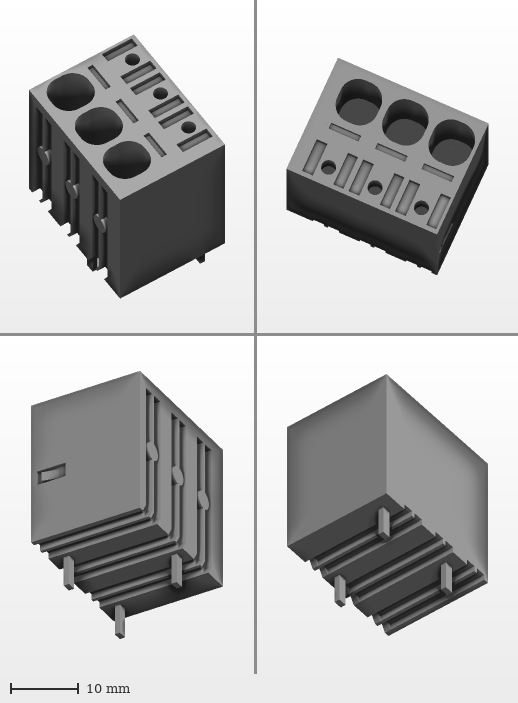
import cadquery as cq


WIDTH = 24.3
DEPTH = 18.5
TOTAL_HEIGHT = 29.15
PIN_LENGTH = 5.0
HEIGHT = TOTAL_HEIGHT - PIN_LENGTH
POLE_COUNT = 3
PITCH = 7.5
POLE_CENTRE = PITCH / 2

WIRE_WIDTH = 6.4
WIRE_LENGTH = 6.82
WIRE_FRONT_WALL = 1.5
WIRE_RADIUS = 2.77
WIRE_DEPTH = 11.65

BUTTON_WIDTH = 5.95
BUTTON_LENGTH = 3.05
BUTTON_FRONT = 8.75
BUTTON_HEIGHT = 5.83
SLOT_MARGIN = 0.67
SLOT_WIDTH = 4.85
SLOT_LENGTH = 0.95
SLOT_FRONT = BUTTON_FRONT + SLOT_MARGIN
SLOT_DEPTH = 0.7

TEST_HOLE_DIAMETER = 2.22
TEST_HOLE_FROM_BACK = 2.75
TEST_HOLE_DEPTH = 3.5
RECESS_LENGTH = 5.28
RECESS_FROM_BACK = 0.67
RECESS_DEPTH = 1.0
LEFT_RECESS_START = 0.45
LEFT_RECESS_WIDTH = 1.6
RIGHT_RECESS_START = 5.35
RIGHT_RECESS_WIDTH = 1.72

GROOVE_CENTRE = 3.88
GROOVE_WIDTH = 1.8
RIB_WIDTH = 0.55
GROOVE_DEPTH = 1.0
GROOVE_TOP_MARGIN = 2.0
GROOVE_BEND_HEIGHT = 1.57
GROOVE_SHIFT = 0.93
BOSS_DIAMETER = 3.0
CHANNEL_HEIGHT = 1.0

POCKET_LENGTH = 4.93
POCKET_HEIGHT = 2.35
POCKET_FROM_BACK = 0.9
POCKET_BOTTOM = 9.8
POCKET_DEPTH = 0.65
RAMP_LENGTH = 2.57
RAMP_HEIGHT = 1.52
RAMP_FROM_BACK = 1.78
RAMP_ABOVE_POCKET = 0.5

PIN_WIDTH = 1.5
PIN_THICKNESS = 0.9
PIN_CENTRE = 6.55
BACK_PIN_Y = DEPTH - 2.62
FRONT_PIN_Y = BACK_PIN_Y - 14.0


def block(x, y, z, width, length, height):
    """Box with its left, front, bottom corner at (x, y, z)."""
    return cq.Workplane("XY").box(width, length, height, centered=False).translate((x, y, z))


def wire_entry(pole_x):
    bottom = HEIGHT - WIRE_DEPTH
    entry = block(
        pole_x + POLE_CENTRE - WIRE_WIDTH / 2, WIRE_FRONT_WALL, bottom,
        WIRE_WIDTH, WIRE_LENGTH, WIRE_DEPTH,
    )
    return entry.edges("|Z").fillet(WIRE_RADIUS)


def button_blank(pole_x):
    """Full block of a button, which is also the shape of its seat in the housing."""
    return block(
        pole_x + POLE_CENTRE - BUTTON_WIDTH / 2, BUTTON_FRONT, HEIGHT - BUTTON_HEIGHT,
        BUTTON_WIDTH, BUTTON_LENGTH, BUTTON_HEIGHT,
    )


def screwdriver_slot(pole_x):
    return block(
        pole_x + POLE_CENTRE - SLOT_WIDTH / 2, SLOT_FRONT, HEIGHT - SLOT_DEPTH,
        SLOT_WIDTH, SLOT_LENGTH, SLOT_DEPTH,
    )


def button(pole_x):
    return button_blank(pole_x).cut(screwdriver_slot(pole_x))


def test_hole(pole_x):
    hole = cq.Workplane("XY").circle(TEST_HOLE_DIAMETER / 2).extrude(TEST_HOLE_DEPTH)
    return hole.translate(
        (pole_x + POLE_CENTRE, DEPTH - TEST_HOLE_FROM_BACK, HEIGHT - TEST_HOLE_DEPTH)
    )


def marker_recess(x, width):
    y = DEPTH - RECESS_FROM_BACK - RECESS_LENGTH
    return block(x, y, HEIGHT - RECESS_DEPTH, width, RECESS_LENGTH, RECESS_DEPTH)


def groove(left):
    """Upright groove in the front face whose lower end slants to the left."""
    right = left + GROOVE_WIDTH
    top = HEIGHT - GROOVE_TOP_MARGIN
    outline = [
        (left, top),
        (right, top),
        (right, GROOVE_BEND_HEIGHT),
        (right - GROOVE_SHIFT, 0),
        (left - GROOVE_SHIFT, 0),
        (left, GROOVE_BEND_HEIGHT),
    ]
    return cq.Workplane("XZ").polyline(outline).close().extrude(-GROOVE_DEPTH)


def underside_channel(groove_left):
    """Channel from the slanted end of a groove through to the back."""
    return block(
        groove_left - GROOVE_SHIFT, GROOVE_DEPTH, 0,
        GROOVE_WIDTH, DEPTH - GROOVE_DEPTH, CHANNEL_HEIGHT,
    )


def boss(pole_x):
    disc = cq.Workplane("XZ").circle(BOSS_DIAMETER / 2).extrude(-GROOVE_DEPTH)
    return disc.translate((pole_x + POLE_CENTRE, 0, HEIGHT / 2))


def coupling_pocket():
    y = DEPTH - POCKET_FROM_BACK - POCKET_LENGTH
    pocket = block(0, y, POCKET_BOTTOM, POCKET_DEPTH, POCKET_LENGTH, POCKET_HEIGHT)
    ramp_back = DEPTH - RAMP_FROM_BACK
    profile = [
        (POCKET_DEPTH, ramp_back - RAMP_LENGTH),
        (POCKET_DEPTH, ramp_back),
        (0, ramp_back),
    ]
    ramp = cq.Workplane("XY").polyline(profile).close().extrude(RAMP_HEIGHT)
    return pocket.cut(ramp.translate((0, 0, POCKET_BOTTOM + RAMP_ABOVE_POCKET)))


def build_housing(pole_positions):
    body = block(0, 0, 0, WIDTH, DEPTH, HEIGHT).cut(coupling_pocket())
    for pole_x in pole_positions:
        body = body.cut(wire_entry(pole_x))
        body = body.cut(button_blank(pole_x))
        body = body.cut(test_hole(pole_x))
        body = body.cut(marker_recess(pole_x + LEFT_RECESS_START, LEFT_RECESS_WIDTH))
        body = body.cut(marker_recess(pole_x + RIGHT_RECESS_START, RIGHT_RECESS_WIDTH))
        rib_left = pole_x + GROOVE_CENTRE - RIB_WIDTH / 2
        for groove_left in (rib_left - GROOVE_WIDTH, rib_left + RIB_WIDTH):
            body = body.cut(groove(groove_left))
            body = body.cut(underside_channel(groove_left))
        body = body.union(boss(pole_x))
    return body


def solder_pin(pole_x, centre_y):
    """Pin that stands on the underside of the housing."""
    return block(
        pole_x + PIN_CENTRE - PIN_WIDTH / 2, centre_y - PIN_THICKNESS / 2, -PIN_LENGTH,
        PIN_WIDTH, PIN_THICKNESS, PIN_LENGTH,
    )


poles = [index * PITCH for index in range(POLE_COUNT)]
pin_rows = [BACK_PIN_Y, FRONT_PIN_Y, BACK_PIN_Y]

housing = build_housing(poles)
buttons = [button(pole_x) for pole_x in poles]
pins = [solder_pin(pole_x, row_y) for pole_x, row_y in zip(poles, pin_rows)]

result = cq.Compound.makeCompound(
    [housing.val(), *[part.val() for part in buttons], *[pin.val() for pin in pins]]
)